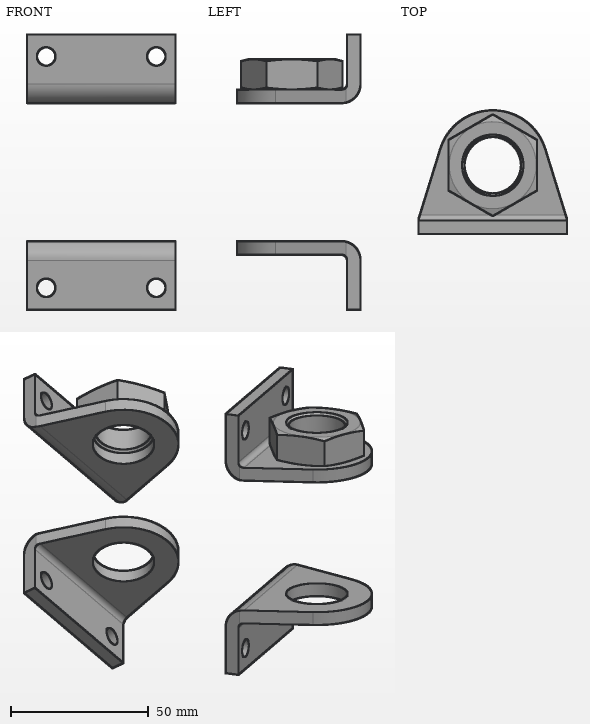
import cadquery as cq
import math

total_height = 100.0
bracket_width = 54.0
bracket_height = 25.0
thickness = 5.0
outer_bend_radius = 7.0
inner_bend_radius = outer_bend_radius - thickness

eye_radius = 20.0
eye_y = 25.0
eye_hole_diameter = 22.3
taper_start_y = 5.4
plate_depth = eye_y + eye_radius

mount_hole_diameter = 6.6
mount_hole_spacing = 40.0
mount_hole_height = 17.0

nut_across_flats = 32.0
nut_height = 11.0
nut_bore_diameter = 20.4
nut_bore_mouth_diameter = eye_hole_diameter
nut_face_diameter = 31.6
nut_corner_drop = 0.7


def bent_strip():
    """L-shaped strip of full width, its plate on Z = 0 and its flange upward."""
    profile = (
        cq.Workplane("YZ")
        .polyline([
            (0, 0),
            (plate_depth, 0),
            (plate_depth, thickness),
            (thickness, thickness),
            (thickness, bracket_height),
            (0, bracket_height),
        ])
        .close()
        .extrude(bracket_width / 2, both=True)
    )
    outer_corner = cq.selectors.NearestToPointSelector((0, 0, 0))
    inner_corner = cq.selectors.NearestToPointSelector((0, thickness, thickness))
    rounded_outside = profile.edges("|X").edges(outer_corner).fillet(outer_bend_radius)
    return rounded_outside.edges("|X").edges(inner_corner).fillet(inner_bend_radius)


def plate_outline():
    """Prism of the plan outline: straight base, tangent tapering sides, round end."""
    half_width = bracket_width / 2
    drop = eye_y - taper_start_y
    corner_distance = math.hypot(half_width, drop)
    tangent_angle = math.acos(eye_radius / corner_distance) - math.atan2(drop, half_width)
    tangent_x = eye_radius * math.cos(tangent_angle)
    tangent_y = eye_y + eye_radius * math.sin(tangent_angle)
    return (
        cq.Workplane("XY")
        .moveTo(-half_width, 0)
        .lineTo(half_width, 0)
        .lineTo(half_width, taper_start_y)
        .lineTo(tangent_x, tangent_y)
        .threePointArc((0, plate_depth), (-tangent_x, tangent_y))
        .lineTo(-half_width, taper_start_y)
        .close()
        .extrude(bracket_height)
    )


def make_bracket():
    """Angle bracket with its flange upward and its underside on Z = 0."""
    eye_hole = (
        cq.Workplane("XY").center(0, eye_y).circle(eye_hole_diameter / 2).extrude(thickness)
    )
    mount_holes = (
        cq.Workplane("XZ")
        .pushPoints([(side * mount_hole_spacing / 2, mount_hole_height) for side in (-1, 1)])
        .circle(mount_hole_diameter / 2)
        .extrude(-thickness)
    )
    return bent_strip().intersect(plate_outline()).cut(eye_hole).cut(mount_holes)


def make_nut():
    """Hexagon nut standing on Z = 0, bevelled at both ends, corners along Y."""
    corner_radius = nut_across_flats / math.sqrt(3)
    face_radius = nut_face_diameter / 2
    bore_radius = nut_bore_diameter / 2
    mouth_radius = nut_bore_mouth_diameter / 2
    mouth_depth = mouth_radius - bore_radius
    hexagon = (
        cq.Workplane("XY")
        .polygon(6, 2 * corner_radius)
        .extrude(nut_height)
        .rotate((0, 0, 0), (0, 0, 1), 30)
    )
    turned_ring = (
        cq.Workplane("XZ")
        .polyline([
            (mouth_radius, 0),
            (face_radius, 0),
            (corner_radius, nut_corner_drop),
            (corner_radius, nut_height - nut_corner_drop),
            (face_radius, nut_height),
            (mouth_radius, nut_height),
            (bore_radius, nut_height - mouth_depth),
            (bore_radius, mouth_depth),
        ])
        .close()
        .revolve(360, (0, 0, 0), (0, 1, 0))
    )
    return hexagon.intersect(turned_ring)


upper_bracket_base = total_height / 2 - bracket_height
upper_bracket = make_bracket().translate((0, 0, upper_bracket_base))
brackets = [upper_bracket, upper_bracket.mirror("XY")]

nut = make_nut().translate((0, eye_y, upper_bracket_base + thickness))

result = cq.Compound.makeCompound([*[bracket.val() for bracket in brackets], nut.val()])